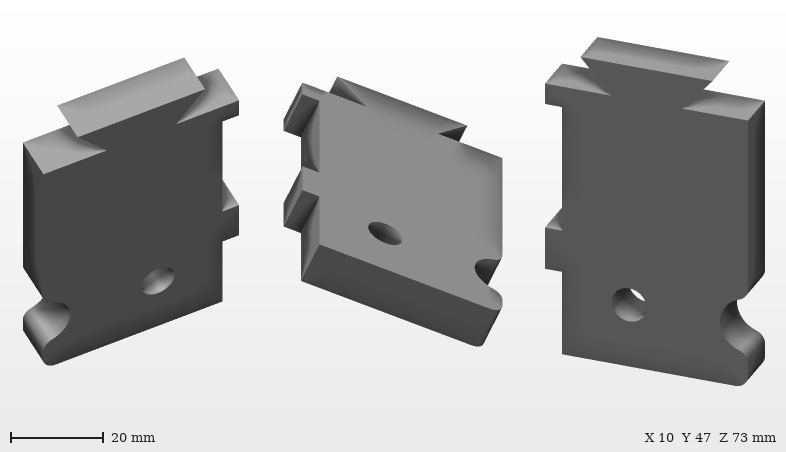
import cadquery as cq

thickness = 10.0
total_width = 47.0
total_height = 73.0

dovetail_height = 8.0
dovetail_top_width = 30.6
dovetail_neck_width = 16.7

tab_depth = 4.0
upper_tab_height = 5.0
lower_tab_bottom = 20.0
lower_tab_height = 10.0

hole_diameter = 8.0
hole_y = 27.5
hole_z = 15.0
notch_radius = 6.5
corner_radius = 3.0

body_width = total_width - tab_depth
body_height = total_height - dovetail_height


def block(y_start, z_start, width, height):
    """Rectangular block through the full thickness, from its lower Y and Z corner."""
    return cq.Workplane("XY").box(thickness, width, height, centered=False).translate((0, y_start, z_start))


def cylinder_along_x(y, z, radius):
    """Round cutter through the full thickness."""
    return cq.Workplane("YZ").center(y, z).circle(radius).extrude(thickness)


def dovetail():
    """Symmetric dovetail that widens upward, centred on the total width."""
    middle = total_width / 2
    half_neck = dovetail_neck_width / 2
    half_top = dovetail_top_width / 2
    outline = [
        (middle - half_neck, body_height),
        (middle + half_neck, body_height),
        (middle + half_top, total_height),
        (middle - half_top, total_height),
    ]
    return cq.Workplane("YZ").polyline(outline).close().extrude(thickness)


plate = block(0, 0, body_width, body_height)
plate = plate.cut(cylinder_along_x(0, hole_z, notch_radius))

edge_tolerance = 0.1
for corner_z in (0, hole_z - notch_radius, hole_z + notch_radius):
    corner = cq.selectors.BoxSelector(
        (-edge_tolerance, -edge_tolerance, corner_z - edge_tolerance),
        (thickness + edge_tolerance, edge_tolerance, corner_z + edge_tolerance),
    )
    plate = plate.edges("|X").edges(corner).fillet(corner_radius)

upper_tab = block(body_width, body_height - upper_tab_height, tab_depth, upper_tab_height)
lower_tab = block(body_width, lower_tab_bottom, tab_depth, lower_tab_height)
plate = plate.union(upper_tab).union(lower_tab).union(dovetail())
result = plate.cut(cylinder_along_x(hole_y, hole_z, hole_diameter / 2))